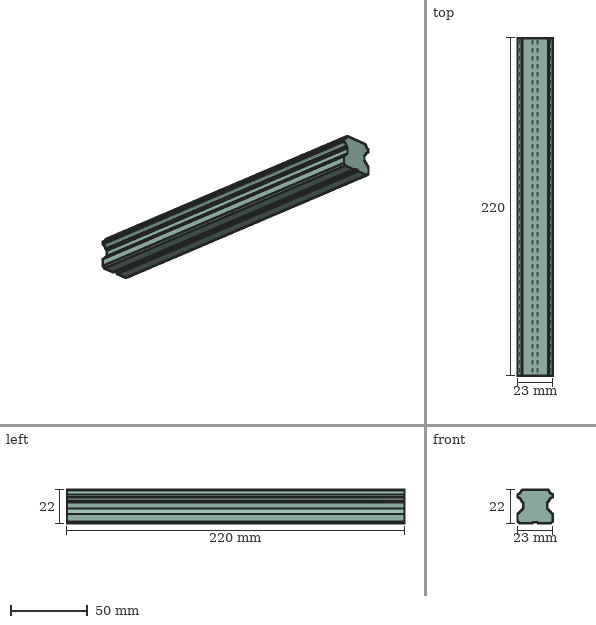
import cadquery as cq
import math

rail_width = 23.0
rail_length = 220.0
rail_height = 22.0

top_flat_width = 16.7
tip_center_z = 18.0
tip_face_height = 1.8
raceway_width = 1.95
raceway_height = 2.15
raceway_radius = 2.8

edge_chamfer_width = 0.5
edge_chamfer_height = 0.3

waist_width = 15.8
waist_bottom_z = 9.7

base_chamfer = 1.4
groove_mouth_width = 3.8
groove_floor_width = 2.6
groove_depth = 0.75

side_x = rail_width / 2
waist_x = waist_width / 2
shoulder_x = side_x - edge_chamfer_width
raceway_inner_x = shoulder_x - raceway_width
raceway_outer_rise = tip_face_height / 2 + edge_chamfer_height
raceway_inner_rise = raceway_outer_rise + raceway_height
waist_top_z = tip_center_z - raceway_inner_rise - (raceway_inner_x - waist_x)
base_shoulder_z = waist_bottom_z - (shoulder_x - waist_x)


def raceway_middle(direction):
    """Deepest point of a raceway arc; direction is +1 above the side tip and -1 below it."""
    chord = math.hypot(raceway_width, raceway_height)
    sagitta = raceway_radius - math.sqrt(raceway_radius**2 - (chord / 2) ** 2)
    middle_x = shoulder_x - raceway_width / 2 - sagitta * raceway_height / chord
    middle_rise = raceway_outer_rise + raceway_height / 2 - sagitta * raceway_width / chord
    return (middle_x, tip_center_z + direction * middle_rise)


def make_half_rail():
    """Right half of the cross-section, drawn upwards from the base and extruded along Y."""
    front_plane = cq.Workplane("XZ", origin=(0, rail_length / 2, 0))
    profile = (
        front_plane.moveTo(0, groove_depth)
        .lineTo(groove_floor_width / 2, groove_depth)
        .lineTo(groove_mouth_width / 2, 0)
        .lineTo(side_x - base_chamfer, 0)
        .lineTo(side_x, base_chamfer)
        .lineTo(side_x, base_shoulder_z - edge_chamfer_height)
        .lineTo(shoulder_x, base_shoulder_z)
        .lineTo(waist_x, waist_bottom_z)
        .lineTo(waist_x, waist_top_z)
        .lineTo(raceway_inner_x, tip_center_z - raceway_inner_rise)
        .threePointArc(raceway_middle(-1), (shoulder_x, tip_center_z - raceway_outer_rise))
        .lineTo(side_x, tip_center_z - tip_face_height / 2)
        .lineTo(side_x, tip_center_z + tip_face_height / 2)
        .lineTo(shoulder_x, tip_center_z + raceway_outer_rise)
        .threePointArc(raceway_middle(1), (raceway_inner_x, tip_center_z + raceway_inner_rise))
        .lineTo(top_flat_width / 2, rail_height)
        .lineTo(0, rail_height)
        .close()
    )
    return profile.extrude(rail_length)


def make_rail():
    """Whole rail, symmetric about the YZ plane."""
    half_rail = make_half_rail()
    return half_rail.union(half_rail.mirror("YZ")).clean()


result = make_rail()